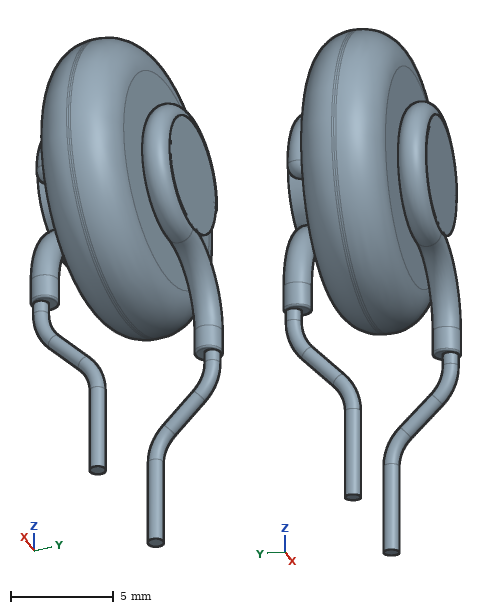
import cadquery as cq
import math

DISC_DIAMETER = 15.0
DISC_THICKNESS = 4.2
DISC_EDGE_RADIUS = 2.0

OVERALL_DEPTH = 7.0
PLATE_RADIUS = 3.0
PLATE_THICKNESS = (OVERALL_DEPTH - DISC_THICKNESS) / 2

COATING_RADIUS = PLATE_THICKNESS / 2
COATING_Y = -(DISC_THICKNESS + PLATE_THICKNESS) / 2
LEAD_X = 3.75
COATING_CURVE_END_Z = -PLATE_RADIUS - LEAD_X
COATING_LENGTH_BELOW_CURVE = 1.25
COATING_BOTTOM_Z = COATING_CURVE_END_Z - COATING_LENGTH_BELOW_CURVE
COATING_END_FILLET = 0.1

HEIGHT = 25.6
WIRE_RADIUS = 0.8 / 2
WIRE_TOP_Y = -3.0
WIRE_BEND_START_Z = -8.58
WIRE_BEND_RADIUS = 2.4
WIRE_BEND_ANGLE = math.radians(45)
WIRE_BOTTOM_Z = DISC_DIAMETER / 2 - HEIGHT


def make_disc():
    """Thick disc with generously rounded rims."""
    disc = cq.Workplane("XZ").circle(DISC_DIAMETER / 2).extrude(DISC_THICKNESS / 2, both=True)
    return disc.edges().fillet(DISC_EDGE_RADIUS)


def make_coated_lead():
    """Front coating: three quarters of a turn, a reverse quarter bend, then a straight end."""
    diagonal = math.sqrt(0.5)
    path = (
        cq.Workplane("XZ", origin=(0, COATING_Y, 0))
        .moveTo(PLATE_RADIUS, 0)
        .threePointArc((0, PLATE_RADIUS), (-PLATE_RADIUS, 0))
        .threePointArc((-PLATE_RADIUS * diagonal, -PLATE_RADIUS * diagonal), (0, -PLATE_RADIUS))
        .threePointArc(
            (LEAD_X * diagonal, COATING_CURVE_END_Z + LEAD_X * diagonal),
            (LEAD_X, COATING_CURVE_END_Z),
        )
        .lineTo(LEAD_X, COATING_BOTTOM_Z)
    )
    tube = (
        cq.Workplane("XY", origin=(PLATE_RADIUS, COATING_Y, 0))
        .circle(COATING_RADIUS)
        .sweep(path)
        .faces("<Z")
        .edges()
        .fillet(COATING_END_FILLET)
    )
    rounded_end = cq.Workplane("XY", origin=(PLATE_RADIUS, COATING_Y, 0)).sphere(COATING_RADIUS)
    return tube.union(rounded_end)


def make_plate(coated_lead):
    """Front plate, with its rim grooved to seat the coated lead."""
    plate = (
        cq.Workplane("XZ", origin=(0, -DISC_THICKNESS / 2, 0))
        .circle(PLATE_RADIUS)
        .extrude(PLATE_THICKNESS)
    )
    return plate.cut(coated_lead)


def make_wire():
    """Front wire: two opposite bends joined by a sloping straight."""
    bend_shift = WIRE_BEND_RADIUS * (1 - math.cos(WIRE_BEND_ANGLE))
    bend_drop = WIRE_BEND_RADIUS * math.sin(WIRE_BEND_ANGLE)
    half_bend_shift = WIRE_BEND_RADIUS * (1 - math.cos(WIRE_BEND_ANGLE / 2))
    half_bend_drop = WIRE_BEND_RADIUS * math.sin(WIRE_BEND_ANGLE / 2)
    slope_shift = -WIRE_TOP_Y - 2 * bend_shift
    slope_bottom_z = WIRE_BEND_START_Z - bend_drop - slope_shift / math.tan(WIRE_BEND_ANGLE)
    bend_end_z = slope_bottom_z - bend_drop
    path = (
        cq.Workplane("YZ", origin=(LEAD_X, 0, 0))
        .moveTo(WIRE_TOP_Y, COATING_BOTTOM_Z)
        .lineTo(WIRE_TOP_Y, WIRE_BEND_START_Z)
        .threePointArc(
            (WIRE_TOP_Y + half_bend_shift, WIRE_BEND_START_Z - half_bend_drop),
            (WIRE_TOP_Y + bend_shift, WIRE_BEND_START_Z - bend_drop),
        )
        .lineTo(-bend_shift, slope_bottom_z)
        .threePointArc((-half_bend_shift, bend_end_z + half_bend_drop), (0, bend_end_z))
        .lineTo(0, WIRE_BOTTOM_Z)
    )
    wire_start = cq.Workplane("XY", origin=(LEAD_X, WIRE_TOP_Y, COATING_BOTTOM_Z))
    return wire_start.circle(WIRE_RADIUS).sweep(path)


disc = make_disc()
front_lead = make_coated_lead()
front_plate = make_plate(front_lead)
front_wire = make_wire()

plates = []
coated_leads = []
wires = []
for turn in (0, 180):
    plates.append(front_plate.rotate((0, 0, 0), (0, 0, 1), turn).solids().val())
    coated_leads.append(front_lead.rotate((0, 0, 0), (0, 0, 1), turn).solids().val())
    wires.append(front_wire.rotate((0, 0, 0), (0, 0, 1), turn).solids().val())

result = cq.Compound.makeCompound([disc.solids().val(), *plates, *coated_leads, *wires])